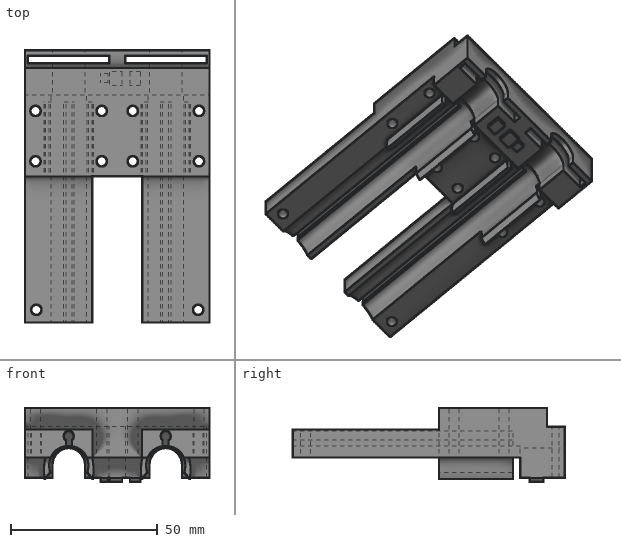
import cadquery as cq
import math

WIDTH = 63.0
LENGTH = 92.75
HEIGHT = 25.2

BODY_FRONT = 49.8
LEDGE_DEPTH = 6.0
LEDGE_TOP = 18.8
ARM_TOP = 17.9
ARM_BOTTOM = 8.3
REAR_BLOCK_DEPTH = 15.3
REAR_BLOCK_BOTTOM = 1.4
REAR_BLOCK_FRONT = LENGTH - REAR_BLOCK_DEPTH

ARM_GAP = 16.9

CHANNEL_X = 16.5
CHANNEL_RADIUS = 6.7
CHANNEL_Z = 5.6
ROD_RADIUS = 5.5
ROD_Z = 6.0

CLIP_END = 75.1
CLIP_TIP_HALF_WIDTH = 8.2
CLIP_TIP_Z = 0.9
CLIP_BULGE_HALF_WIDTH = 8.4
CLIP_TOP_HALF_WIDTH = 8.0
LIP_Z = 3.2

KEYHOLE_DIAMETER = 3.4
KEYHOLE_Z = 15.6
KEYHOLE_SLIT = 2.0

HOLE_DIAMETER = 3.4
BODY_HOLE_XS = (5.3, 27.8)
BODY_HOLE_YS = (54.9, 72.1)
ARM_HOLE_X = 27.55
ARM_HOLE_Y = 4.4

SLOT_LENGTH = 27.7
SLOT_WIDTH = 2.5
SLOT_SIDE_WALL = 1.0
SLOT_REAR_WALL = 1.95

PADS = (
    (-5.7, -3.15, 81.7, 84.9),
    (-2.6, 1.7, 80.7, 85.4),
    (4.3, 7.9, 80.7, 85.4),
)


def box(x0, x1, y0, y1, z0, z1):
    """Box given by its limits along each axis."""
    return cq.Workplane("XY").box(x1 - x0, y1 - y0, z1 - z0, centered=False).translate((x0, y0, z0))


def extrude_back(sketch, y_start, y_end):
    """Extrude an XZ sketch along +Y between two Y positions."""
    return sketch.extrude(y_start - y_end).translate((0, y_start, 0))


def make_body():
    """Stepped side profile across the full width, with the gap between the arms removed."""
    profile = [
        (0, ARM_BOTTOM),
        (REAR_BLOCK_FRONT, ARM_BOTTOM),
        (REAR_BLOCK_FRONT, REAR_BLOCK_BOTTOM),
        (LENGTH, REAR_BLOCK_BOTTOM),
        (LENGTH, LEDGE_TOP),
        (LENGTH - LEDGE_DEPTH, LEDGE_TOP),
        (LENGTH - LEDGE_DEPTH, HEIGHT),
        (BODY_FRONT, HEIGHT),
        (BODY_FRONT, ARM_TOP),
        (0, ARM_TOP),
    ]
    body = cq.Workplane("YZ").polyline(profile).close().extrude(WIDTH / 2, both=True)
    return body.cut(box(-ARM_GAP / 2, ARM_GAP / 2, 0, BODY_FRONT, 0, HEIGHT))


def clip_blank(x):
    """Solid block with bulged sides, later hollowed into the two legs of a clip."""
    bulge_z = (ARM_BOTTOM + CLIP_TIP_Z) / 2
    sketch = (
        cq.Workplane("XZ")
        .moveTo(x - CLIP_TIP_HALF_WIDTH, CLIP_TIP_Z)
        .threePointArc((x - CLIP_BULGE_HALF_WIDTH, bulge_z), (x - CLIP_TOP_HALF_WIDTH, ARM_BOTTOM))
        .lineTo(x + CLIP_TOP_HALF_WIDTH, ARM_BOTTOM)
        .threePointArc((x + CLIP_BULGE_HALF_WIDTH, bulge_z), (x + CLIP_TIP_HALF_WIDTH, CLIP_TIP_Z))
        .close()
    )
    return extrude_back(sketch, BODY_FRONT, CLIP_END)


def bearing_channel(x):
    """Round channel that opens downwards past the clip lips in a flared mouth."""
    lip_half_width = math.sqrt(CHANNEL_RADIUS**2 - (CHANNEL_Z - LIP_Z) ** 2)
    sketch = (
        cq.Workplane("XZ")
        .moveTo(x - CLIP_TIP_HALF_WIDTH, CLIP_TIP_Z)
        .lineTo(x - lip_half_width, LIP_Z)
        .threePointArc((x, CHANNEL_Z + CHANNEL_RADIUS), (x + lip_half_width, LIP_Z))
        .lineTo(x + CLIP_TIP_HALF_WIDTH, CLIP_TIP_Z)
        .close()
    )
    return extrude_back(sketch, 0, REAR_BLOCK_FRONT)


def rod_passage(x):
    """Arched passage with straight lower walls, running the whole length."""
    sketch = (
        cq.Workplane("XZ")
        .moveTo(x - ROD_RADIUS, 0)
        .lineTo(x - ROD_RADIUS, ROD_Z)
        .threePointArc((x, ROD_Z + ROD_RADIUS), (x + ROD_RADIUS, ROD_Z))
        .lineTo(x + ROD_RADIUS, 0)
        .close()
    )
    return extrude_back(sketch, 0, LENGTH)


def keyhole(x):
    """Round relief joined to the channel below by a narrow slit."""
    relief = cq.Workplane("XZ").center(x, KEYHOLE_Z).circle(KEYHOLE_DIAMETER / 2)
    slit = box(x - KEYHOLE_SLIT / 2, x + KEYHOLE_SLIT / 2, 0, CLIP_END, CHANNEL_Z, KEYHOLE_Z)
    return extrude_back(relief, 0, CLIP_END).union(slit)


def screw_holes():
    """Vertical through holes in the body and near the arm tips, mirrored about the centre."""
    points = [(side * x, y) for side in (-1, 1) for x in BODY_HOLE_XS for y in BODY_HOLE_YS]
    points += [(side * ARM_HOLE_X, ARM_HOLE_Y) for side in (-1, 1)]
    return cq.Workplane("XY").pushPoints(points).circle(HOLE_DIAMETER / 2).extrude(HEIGHT)


def belt_slots():
    """Two slots through the rear ledge, one on each side."""
    slot_x = WIDTH / 2 - SLOT_SIDE_WALL - SLOT_LENGTH / 2
    slot_y = LENGTH - SLOT_REAR_WALL - SLOT_WIDTH / 2
    points = [(-slot_x, slot_y), (slot_x, slot_y)]
    return cq.Workplane("XY").pushPoints(points).rect(SLOT_LENGTH, SLOT_WIDTH).extrude(HEIGHT)


result = make_body()
for channel_x in (-CHANNEL_X, CHANNEL_X):
    result = result.union(clip_blank(channel_x))
for channel_x in (-CHANNEL_X, CHANNEL_X):
    result = result.cut(bearing_channel(channel_x))
    result = result.cut(rod_passage(channel_x))
    result = result.cut(keyhole(channel_x))
result = result.cut(screw_holes()).cut(belt_slots())
for x_start, x_end, y_start, y_end in PADS:
    result = result.union(box(x_start, x_end, y_start, y_end, 0, REAR_BLOCK_BOTTOM))